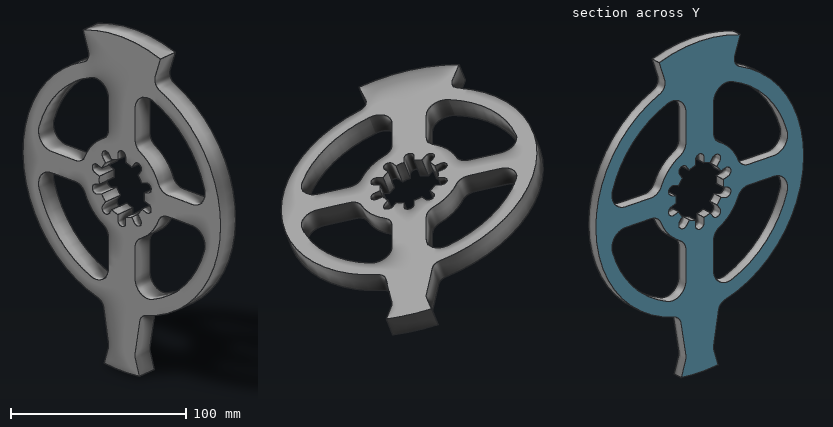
import cadquery as cq
import math

length = 209.5
thickness = 12.8
rim_radius = 76.2

top_tab_radius = 95.0
top_tab_half_angle = math.radians(18.3)

bottom_tab_radius = length - top_tab_radius
bottom_tab_end_half_width = 13.6
waist_half_width = 10.0
waist_depth = 101.8
waist_fillet = 6.3
root_half_width = 14.2
root_depth = 76.9
tab_root_fillet = 6.3

window_outer_radius = 66.6
hub_radius = 30.5
vertical_spoke_half_width = 10.3
horizontal_spoke_half_width = 6.7
window_outer_fillet = 9.8
window_hub_fillet = 8.0

bore_radius = 17.4
slot_count = 10
slot_tip_radius = 23.7
slot_width = 5.9

tolerance = 0.02


def plate_sketch():
    """Workplane facing -Y, with X right and Z up, centred in the thickness."""
    return cq.Workplane("XZ")


def extrude(outline):
    return outline.extrude(thickness / 2, both=True)


def disc(radius):
    return extrude(plate_sketch().circle(radius))


def top_tab():
    x = top_tab_radius * math.sin(top_tab_half_angle)
    z = top_tab_radius * math.cos(top_tab_half_angle)
    outline = (
        plate_sketch()
        .lineTo(x, z)
        .threePointArc((0, top_tab_radius), (-x, z))
        .close()
    )
    return extrude(outline)


def bottom_tab():
    end_depth = math.sqrt(bottom_tab_radius**2 - bottom_tab_end_half_width**2)
    flank_slope = (root_half_width - waist_half_width) / (waist_depth - root_depth)
    start_depth = window_outer_radius
    start_half_width = waist_half_width + flank_slope * (waist_depth - start_depth)
    outline = (
        plate_sketch()
        .moveTo(start_half_width, -start_depth)
        .lineTo(waist_half_width, -waist_depth)
        .lineTo(bottom_tab_end_half_width, -end_depth)
        .threePointArc((0, -bottom_tab_radius), (-bottom_tab_end_half_width, -end_depth))
        .lineTo(-waist_half_width, -waist_depth)
        .lineTo(-start_half_width, -start_depth)
        .close()
    )
    return extrude(outline).edges("|Y").filter(is_waist).fillet(waist_fillet)


def is_waist(edge):
    return abs(edge.Center().z + waist_depth) < tolerance


def wheel_with_tabs():
    body = disc(rim_radius).union(top_tab()).union(bottom_tab())
    roots = body.edges("|Y").filter(is_tab_root)
    return roots.fillet(tab_root_fillet)


def is_tab_root(edge):
    centre = edge.Center()
    on_rim = abs(math.hypot(centre.x, centre.z) - rim_radius) < tolerance
    return on_rim and abs(centre.z) > rim_radius / 2


def window(x_side, z_side):
    """Filleted opening in the quadrant given by the two signs."""
    quadrant = cq.Workplane().box(
        window_outer_radius, thickness, window_outer_radius, centered=(False, True, False)
    ).translate((vertical_spoke_half_width, 0, horizontal_spoke_half_width))
    opening = disc(window_outer_radius).cut(disc(hub_radius)).intersect(quadrant)
    middle_radius = (window_outer_radius + hub_radius) / 2

    def is_outer_corner(edge):
        return math.hypot(edge.Center().x, edge.Center().z) > middle_radius

    def is_hub_corner(edge):
        return math.hypot(edge.Center().x, edge.Center().z) < hub_radius + tolerance

    opening = opening.edges("|Y").filter(is_outer_corner).fillet(window_outer_fillet)
    opening = opening.edges("|Y").filter(is_hub_corner).fillet(window_hub_fillet)
    if x_side < 0:
        opening = opening.mirror("YZ")
    if z_side < 0:
        opening = opening.mirror("XY")
    return opening


def splined_bore():
    bore = disc(bore_radius)
    slot_end_centre = slot_tip_radius - slot_width / 2
    straight = extrude(
        plate_sketch().center(0, slot_end_centre / 2).rect(slot_width, slot_end_centre)
    )
    tip = extrude(plate_sketch().center(0, slot_end_centre).circle(slot_width / 2))
    slot = straight.union(tip)
    for index in range(slot_count):
        bore = bore.union(slot.rotate((0, 0, 0), (0, 1, 0), index * 360 / slot_count))
    return bore


result = wheel_with_tabs()
for x_side in (-1, 1):
    for z_side in (-1, 1):
        result = result.cut(window(x_side, z_side))
result = result.cut(splined_bore())